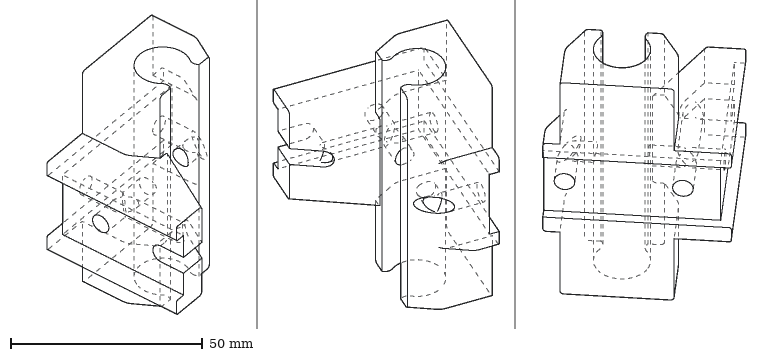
import cadquery as cq
import math

height = 72.0
length = 43.0
depth = 49.5
slope = math.tan(math.radians(30))

column_reach = 22.3
column_width = 30.0
column_y = 30.0
column_bend_x = 14.55
bend_radius = 5.0
bore_radius = 7.5
bore_x = 15.0
throat_x = 19.2
lip_x = 20.5
lip_gap = 11.15
mouth_gap = 12.25

base_height = 30.0
web_height = 20.3
front_recess = 3.0
left_recess = 2.8
tip_depth = 10.8

edge_radius = 1.0
front_edge_radius = 0.6

hole_diameter = 5.4
side_hole_ys = (12.95, 44.1)
front_hole_x = 15.5
slot_center_x = 35.5

column_front = column_y - column_width / 2
column_back = column_y + column_width / 2
column_drop = (column_reach - column_bend_x) * slope
face_back = column_back - column_drop
base_bend_x = column_reach - (depth - face_back) / slope
base_shoulder_y = tip_depth + (length - column_reach) * slope


def extrude_centered(outline, total_height):
    """Closed prism centred on the mid-height plane."""
    return outline.close().extrude(total_height / 2, both=True)


def at_point(x, y):
    """Selector for the vertical edges passing through x, y."""
    margin = 0.1
    return cq.selectors.BoxSelector(
        (x - margin, y - margin, -height), (x + margin, y + margin, height)
    )


def make_recess(x_size, y_size):
    """Web-height block that starts at the left front corner."""
    return cq.Workplane("XY").box(x_size, y_size, web_height, centered=(False, False, True))


def make_column():
    outline = (
        cq.Workplane("XY")
        .moveTo(0, column_front)
        .lineTo(column_bend_x, column_front)
        .lineTo(column_reach, column_front + column_drop)
        .lineTo(column_reach, face_back)
        .lineTo(column_bend_x, column_back)
        .lineTo(0, column_back)
    )
    column = extrude_centered(outline, height)
    for bend_y in (column_front, column_back):
        column = column.edges(at_point(column_bend_x, bend_y)).fillet(bend_radius)
    rims = column.faces("|Z").edges("not(<X or >X)")
    return rims.fillet(edge_radius)


def make_base():
    outline = (
        cq.Workplane("XY")
        .lineTo(length, 0)
        .lineTo(length, tip_depth)
        .lineTo(column_reach, base_shoulder_y)
        .lineTo(column_reach, face_back)
        .lineTo(base_bend_x, depth)
        .lineTo(0, depth)
    )
    base = extrude_centered(outline, base_height)
    base = base.edges(at_point(base_bend_x, depth)).fillet(bend_radius)

    rims = base.faces("|Z").edges("not(<X or >X or <Y)")
    base = rims.fillet(edge_radius)

    base = base.cut(make_recess(length, front_recess))
    return base.faces("<Y").edges("|X").fillet(front_edge_radius)


def make_rod_clearance():
    """Rod bore with a mouth that narrows between rounded lips."""
    center = cq.Workplane("XY").center(0, column_y)
    bore = center.center(bore_x, 0).circle(bore_radius).extrude(height / 2, both=True)
    throat_half = math.sqrt(bore_radius**2 - (throat_x - bore_x) ** 2)
    mouth = (
        center.moveTo(throat_x, -throat_half)
        .threePointArc((lip_x, -lip_gap / 2), (column_reach, -mouth_gap / 2))
        .lineTo(column_reach, mouth_gap / 2)
        .threePointArc((lip_x, lip_gap / 2), (throat_x, throat_half))
    )
    return bore.union(extrude_centered(mouth, height))


def make_screw_holes():
    side_holes = (
        cq.Workplane("YZ")
        .pushPoints([(y, 0) for y in side_hole_ys])
        .circle(hole_diameter / 2)
        .extrude(length)
    )
    front_hole = cq.Workplane("XZ").center(front_hole_x, 0).circle(hole_diameter / 2).extrude(-depth)
    slot_end = cq.Workplane("XZ").center(slot_center_x, 0).circle(hole_diameter / 2).extrude(-depth)
    slot_run = (
        cq.Workplane("XY")
        .box(length - slot_center_x, depth, hole_diameter, centered=(False, False, True))
        .translate((slot_center_x, 0, 0))
    )
    return side_holes.union(front_hole).union(slot_end).union(slot_run)


body = make_column().union(make_base())
body = body.cut(make_recess(left_recess, depth))
result = body.cut(make_rod_clearance()).cut(make_screw_holes())